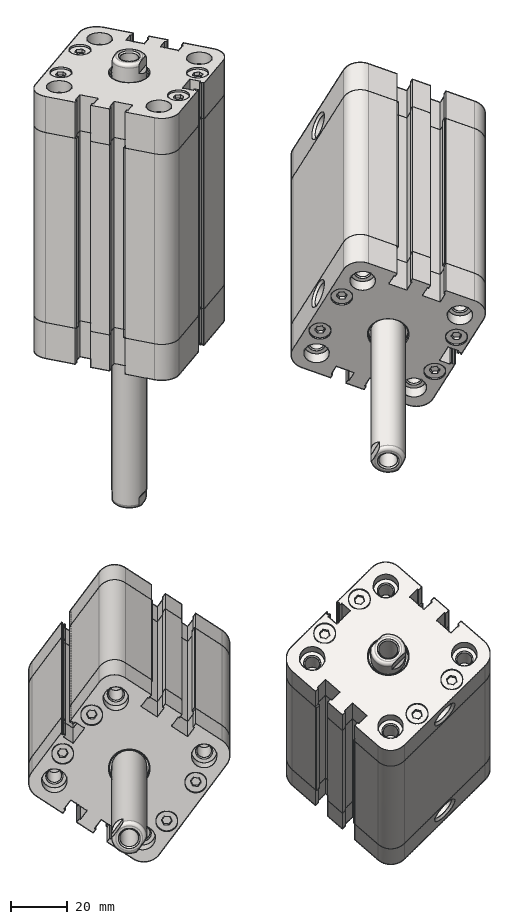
import cadquery as cq
import math

TOTAL_LENGTH = 179.0
BODY_HEIGHT = 105.5
CAP_HEIGHT = 14.5
ROD_TOP_STUB = 6.6
ROD_TOP = BODY_HEIGHT + ROD_TOP_STUB
BARREL_HEIGHT = BODY_HEIGHT - 2 * CAP_HEIGHT

BODY_WIDTH = 54.8
HALF_WIDTH = BODY_WIDTH / 2
CORNER_RADIUS = 6.6

SLOT_DEPTH = 5.7
LIP_THICKNESS = 1.6
LIP_OVERHANG = 0.5
SLOT_INNER_EDGE = 3.0
SLOT_WIDTH = 7.0
MOUTH_START = SLOT_INNER_EDGE + LIP_OVERHANG
MOUTH_END = SLOT_INNER_EDGE + SLOT_WIDTH - LIP_OVERHANG
BARREL_LIP_EXTRA = 0.5
BARREL_LIP_SETBACK = 0.09
SIDE_MOUTH_WIDTH = 4.8
NOTCH_DEPTH = 0.5
NOTCH_WIDTH = 0.7
NOTCH_INSET = 0.4

ROD_DIAMETER = 12.4
ROD_END_RADIUS = 1.5
FLAT_DISTANCE = 10.2
FLAT_LENGTH = 4.1
ROD_HOLE_DIAMETER = 6.6
ROD_HOLE_DEPTH = 17.9
ROD_HOLE_MOUTH = 7.7
WIPER_DIAMETER = 14.0
WIPER_DEPTH = 1.8
WIPER_MOUTH_DIAMETER = 14.7
HUB_DIAMETER = 16.5

MOUNT_OFFSET = 19.0
MOUNT_BORE_DIAMETER = 9.0
MOUNT_BORE_DEPTH = 4.7
MOUNT_HOLE_DIAMETER = 5.2
MOUNT_HOLE_MOUTH = 6.0

SCREW_X = 22.4
SCREW_Y = 9.0
SCREW_RECESS_DIAMETER = 7.7
SCREW_RECESS_DEPTH = 0.7
SOCKET_ACROSS_FLATS = 3.2
SOCKET_DEPTH = 2.0

PORT_DIAMETER = 8.6
PORT_MOUTH_DIAMETER = 10.4
PORT_BELOW_FACE = 8.5


def cone_cut(mouth_diameter, hole_diameter, top):
    """45-degree countersink cutter opening upward at height `top`."""
    depth = (mouth_diameter - hole_diameter) / 2
    return cq.Workplane(
        cq.Solid.makeCone(hole_diameter / 2, mouth_diameter / 2, depth, cq.Vector(0, 0, top - depth))
    )


def block(height):
    """Square bar with rounded corners, standing on Z = 0."""
    return (
        cq.Workplane("XY")
        .rect(BODY_WIDTH, BODY_WIDTH)
        .extrude(height)
        .edges("|Z")
        .fillet(CORNER_RADIUS)
    )


def t_slot(mouth_start, mouth_end, height):
    """T-slot cutter in the +Y face, on the +X half."""
    floor = HALF_WIDTH - SLOT_DEPTH
    lip = HALF_WIDTH - LIP_THICKNESS
    wide_end = SLOT_INNER_EDGE + SLOT_WIDTH
    return (
        cq.Workplane("XY")
        .moveTo(SLOT_INNER_EDGE, floor)
        .lineTo(wide_end, floor)
        .lineTo(wide_end, lip)
        .lineTo(mouth_end, lip)
        .lineTo(mouth_end, HALF_WIDTH)
        .lineTo(mouth_start, HALF_WIDTH)
        .lineTo(mouth_start, lip)
        .lineTo(SLOT_INNER_EDGE, lip)
        .close()
        .extrude(height)
    )


def lip_setback(mouth_start, mouth_end, height):
    """Shallow cutter that widens a slot mouth to the cap's mouth width at the outer face."""
    return (
        cq.Workplane("XY")
        .moveTo(mouth_start, HALF_WIDTH)
        .lineTo(mouth_end, HALF_WIDTH)
        .lineTo(mouth_end, HALF_WIDTH - BARREL_LIP_SETBACK)
        .lineTo(mouth_start, HALF_WIDTH - BARREL_LIP_SETBACK)
        .close()
        .extrude(height)
    )


def on_both_y_sides(cutter):
    """The cutter and its three mirror images in the XZ and YZ planes."""
    pair = cutter.union(cutter.mirror("YZ"))
    return pair.union(pair.mirror("XZ"))


def side_slot(height):
    """Single T-slot cutter in the +X face, with a small notch in each lip."""
    def strip(depth_start, depth_end, width):
        return (
            cq.Workplane("XY")
            .center(HALF_WIDTH - (depth_start + depth_end) / 2, 0)
            .rect(depth_end - depth_start, width)
            .extrude(height)
        )

    cavity = strip(LIP_THICKNESS, SLOT_DEPTH, SLOT_WIDTH)
    mouth = strip(0, LIP_THICKNESS, SIDE_MOUTH_WIDTH)
    notches = strip(NOTCH_INSET, NOTCH_INSET + NOTCH_WIDTH, SIDE_MOUTH_WIDTH + 2 * NOTCH_DEPTH)
    return cavity.union(mouth).union(notches)


def make_barrel():
    """Extruded profile between the caps."""
    slot = t_slot(MOUTH_START, MOUTH_END - BARREL_LIP_EXTRA, BARREL_HEIGHT)
    slot = slot.union(lip_setback(MOUTH_START, MOUTH_END, BARREL_HEIGHT))
    rod_bore = cq.Workplane("XY").circle(ROD_DIAMETER / 2).extrude(BARREL_HEIGHT)
    barrel = block(BARREL_HEIGHT).cut(on_both_y_sides(slot)).cut(side_slot(BARREL_HEIGHT)).cut(rod_bore)
    return barrel.translate((0, 0, CAP_HEIGHT))


def mount_hole():
    """Stepped blind hole cutter on the Z axis, opening at the outer face of a cap."""
    bore_floor = CAP_HEIGHT - MOUNT_BORE_DEPTH
    bore = cq.Workplane("XY").workplane(offset=bore_floor).circle(MOUNT_BORE_DIAMETER / 2)
    hole = cq.Workplane("XY").circle(MOUNT_HOLE_DIAMETER / 2).extrude(bore_floor)
    countersink = cone_cut(MOUNT_HOLE_MOUTH, MOUNT_HOLE_DIAMETER, bore_floor)
    return bore.extrude(MOUNT_BORE_DEPTH).union(hole).union(countersink)


def screw_recess():
    """Shallow round recess over a screw head and its hexagon socket, on the Z axis."""
    recess = (
        cq.Workplane("XY")
        .workplane(offset=CAP_HEIGHT - SCREW_RECESS_DEPTH)
        .circle(SCREW_RECESS_DIAMETER / 2)
        .extrude(SCREW_RECESS_DEPTH)
    )
    socket = (
        cq.Workplane("XY")
        .workplane(offset=CAP_HEIGHT - SOCKET_DEPTH)
        .transformed(rotate=(0, 0, 90))
        .polygon(6, SOCKET_ACROSS_FLATS / math.cos(math.pi / 6))
        .extrude(SOCKET_DEPTH)
    )
    return recess.union(socket)


def port():
    """Chamfered air port cutter running from the -X face to the hub around the rod."""
    chamfer = (PORT_MOUTH_DIAMETER - PORT_DIAMETER) / 2
    drill = cq.Workplane("YZ").circle(PORT_DIAMETER / 2).extrude(-HALF_WIDTH)
    mouth = cq.Workplane(
        cq.Solid.makeCone(
            PORT_MOUTH_DIAMETER / 2,
            PORT_DIAMETER / 2,
            chamfer,
            cq.Vector(-HALF_WIDTH, 0, 0),
            cq.Vector(1, 0, 0),
        )
    )
    hub = cq.Workplane("XY").circle(HUB_DIAMETER / 2).extrude(CAP_HEIGHT)
    return drill.union(mouth).translate((0, 0, CAP_HEIGHT - PORT_BELOW_FACE)).cut(hub)


def wiper_recess():
    """Ring recess around the rod, with a chamfered mouth at the outer face of a cap."""
    recess = cq.Workplane("XY").workplane(offset=CAP_HEIGHT - WIPER_DEPTH).circle(WIPER_DIAMETER / 2)
    return recess.extrude(WIPER_DEPTH).union(cone_cut(WIPER_MOUTH_DIAMETER, WIPER_DIAMETER, CAP_HEIGHT))


def make_cap():
    """End cap standing on Z = 0 with its outer face up."""
    slot = t_slot(MOUTH_START, MOUTH_END, CAP_HEIGHT)
    cap = block(CAP_HEIGHT).cut(on_both_y_sides(slot)).cut(side_slot(CAP_HEIGHT))
    cap = cap.cut(cq.Workplane("XY").circle(ROD_DIAMETER / 2).extrude(CAP_HEIGHT))
    cap = cap.cut(wiper_recess())
    for x_sign in (-1, 1):
        for y_sign in (-1, 1):
            cap = cap.cut(mount_hole().translate((x_sign * MOUNT_OFFSET, y_sign * MOUNT_OFFSET, 0)))
            cap = cap.cut(screw_recess().translate((x_sign * SCREW_X, y_sign * SCREW_Y, 0)))
    return cap.cut(port())


def rod_end_flats():
    """Cutter for the two wrench flats at the upper rod end, each running out in a 45-degree bevel."""
    flat = FLAT_DISTANCE / 2
    radius = ROD_DIAMETER / 2
    flat_end = ROD_TOP - FLAT_LENGTH
    side = (
        cq.Workplane("XZ")
        .moveTo(flat, ROD_TOP)
        .lineTo(flat, flat_end)
        .lineTo(radius, flat_end - (radius - flat))
        .lineTo(radius, ROD_TOP)
        .close()
        .extrude(radius, both=True)
    )
    return side.union(side.mirror("YZ"))


def make_rod():
    """Through rod with the same threaded end and wrench flats top and bottom."""
    middle = ROD_TOP - TOTAL_LENGTH / 2
    hole = cq.Workplane("XY").workplane(offset=ROD_TOP).circle(ROD_HOLE_DIAMETER / 2).extrude(-ROD_HOLE_DEPTH)
    countersink = cone_cut(ROD_HOLE_MOUTH, ROD_HOLE_DIAMETER, ROD_TOP)
    end_cut = hole.union(countersink).union(rod_end_flats())
    rod = (
        cq.Workplane("XY")
        .workplane(offset=ROD_TOP - TOTAL_LENGTH)
        .circle(ROD_DIAMETER / 2)
        .extrude(TOTAL_LENGTH)
        .faces("<Z or >Z")
        .edges()
        .fillet(ROD_END_RADIUS)
    )
    return rod.cut(end_cut).cut(end_cut.mirror("XY", (0, 0, middle)))


barrel = make_barrel()
upper_cap = make_cap().translate((0, 0, BODY_HEIGHT - CAP_HEIGHT))
lower_cap = upper_cap.mirror("XY", (0, 0, BODY_HEIGHT / 2))
rod = make_rod()

result = cq.Compound.makeCompound([barrel.val(), upper_cap.val(), lower_cap.val(), rod.val()])